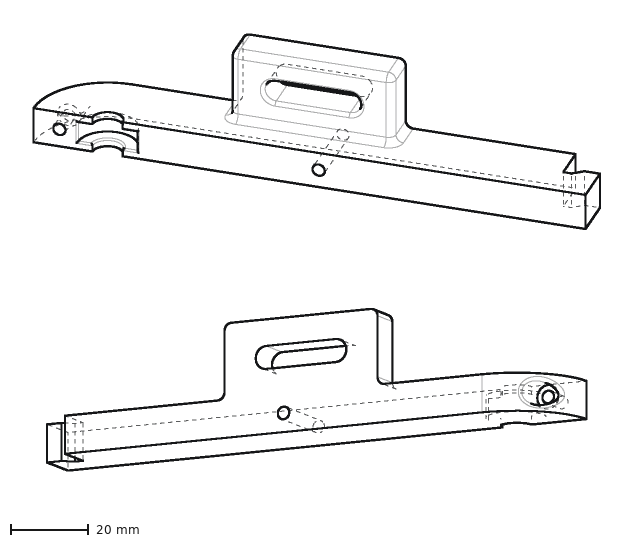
import cadquery as cq
import math

BAR_LENGTH = 149.05
BAR_WIDTH = 20.0
BAR_HEIGHT = 10.0
NOSE_RADIUS = BAR_WIDTH

HOOK_LENGTH = 9.2
HOOK_WIDTH = 12.0
NOTCH_FLOOR_Y = 9.8
HOOK_TIP_LENGTH = 4.2
HOOK_RAMP_LENGTH = 2.8
NOTCH_LEFT_X = BAR_LENGTH - HOOK_LENGTH
HOOK_TIP_X = BAR_LENGTH - HOOK_TIP_LENGTH

LUG_LENGTH = 44.0
LUG_THICKNESS = 10.1
LUG_HEIGHT = 20.0
LUG_LEFT_X = 50.0
LUG_FILLET = 2.0
LUG_CENTER_X = LUG_LEFT_X + LUG_LENGTH / 2
LUG_FRONT_Y = BAR_WIDTH - LUG_THICKNESS

SLOT_LENGTH = 26.0
SLOT_HEIGHT = 6.0
SLOT_CENTER_Z = BAR_HEIGHT + LUG_HEIGHT / 2
SLOT_EDGE_FILLET = 1.0

ROLLER_X = NOSE_RADIUS
POCKET_DIAMETER = 16.0
POCKET_HEIGHT = 5.6
POCKET_FILLET = 0.5
AXLE_DIAMETER = 8.2

SCREW_X = (7.0, 77.0)
SCREW_DIAMETER = 3.3
NOSE_SCREW_X = SCREW_X[0]
COUNTERBORE_DIAMETER = 6.3
COUNTERBORE_FLOOR_Y = 8.0
COUNTERBORE_FILLET = 1.0

MID_Z = BAR_HEIGHT / 2

PICK_MARGIN = 0.1


def make_bar():
    """Flat bar with a quarter-round nose and a hook-shaped far end."""
    mid_arc = NOSE_RADIUS * math.sqrt(0.5)
    return (
        cq.Workplane("XY")
        .lineTo(BAR_LENGTH, 0)
        .lineTo(BAR_LENGTH, HOOK_WIDTH)
        .lineTo(HOOK_TIP_X, HOOK_WIDTH)
        .lineTo(HOOK_TIP_X - HOOK_RAMP_LENGTH, NOTCH_FLOOR_Y)
        .lineTo(NOTCH_LEFT_X, NOTCH_FLOOR_Y)
        .lineTo(NOTCH_LEFT_X, BAR_WIDTH)
        .lineTo(NOSE_RADIUS, BAR_WIDTH)
        .threePointArc((NOSE_RADIUS - mid_arc, mid_arc), (0, 0))
        .close()
        .extrude(BAR_HEIGHT)
    )


def edges_between(low, high):
    """Selector for the edges lying wholly between two opposite corner points."""
    return cq.selectors.BoxSelector(
        tuple(value - PICK_MARGIN for value in low),
        tuple(value + PICK_MARGIN for value in high),
        boundingbox=True,
    )


def cylinder_along_y(x, diameter, y_start, y_end):
    """Solid cylinder at mid height of the bar, running from y_start to y_end."""
    return (
        cq.Workplane("XZ", origin=(x, y_start, MID_Z))
        .circle(diameter / 2)
        .extrude(y_start - y_end)
    )


def cut_nose_counterbore(body):
    """Screw-head bore sunk into the round nose, with its rim rounded."""
    body = body.cut(
        cylinder_along_y(NOSE_SCREW_X, COUNTERBORE_DIAMETER, COUNTERBORE_FLOOR_Y, BAR_WIDTH)
    )
    radius = COUNTERBORE_DIAMETER / 2
    rim = edges_between(
        (NOSE_SCREW_X - radius, COUNTERBORE_FLOOR_Y + 2 * PICK_MARGIN, MID_Z - radius),
        (NOSE_SCREW_X + radius, BAR_WIDTH, MID_Z + radius),
    )
    return body.edges(rim).fillet(COUNTERBORE_FILLET)


def cut_roller_pocket(body):
    """Half-round roller pocket and axle bore across it, rounded where they open."""
    pocket = (
        cq.Workplane("XY", origin=(ROLLER_X, 0, MID_Z))
        .circle(POCKET_DIAMETER / 2)
        .extrude(POCKET_HEIGHT / 2, both=True)
    )
    axle = cq.Workplane("XY").center(ROLLER_X, 0).circle(AXLE_DIAMETER / 2).extrude(BAR_HEIGHT)
    roller_space = pocket.union(axle).rotate((ROLLER_X, 0, 0), (ROLLER_X, 0, 1), -90)
    body = body.cut(roller_space)
    rim = edges_between(
        (ROLLER_X - POCKET_DIAMETER / 2, 0, MID_Z - POCKET_HEIGHT / 2),
        (ROLLER_X + POCKET_DIAMETER / 2, AXLE_DIAMETER / 2, MID_Z + POCKET_HEIGHT / 2),
    )
    return body.edges(rim).fillet(POCKET_FILLET)


def add_lug(body):
    """Upright lug with rounded front, top and side edges, blended into the bar."""
    lug = (
        cq.Workplane("XY", origin=(LUG_CENTER_X, LUG_FRONT_Y + LUG_THICKNESS / 2, BAR_HEIGHT))
        .rect(LUG_LENGTH, LUG_THICKNESS)
        .extrude(LUG_HEIGHT)
        .edges("(|Z and <Y) or (>Z and (not >Y))")
        .fillet(LUG_FILLET)
    )
    body = body.union(lug)
    foot = edges_between(
        (LUG_LEFT_X, LUG_FRONT_Y, BAR_HEIGHT),
        (LUG_LEFT_X + LUG_LENGTH, BAR_WIDTH, BAR_HEIGHT),
    )
    return body.edges(foot).fillet(LUG_FILLET)


def cut_lug_slot(body):
    """Round-ended slot through the lug, with its front rim rounded."""
    slot = (
        cq.Workplane("XZ", origin=(LUG_CENTER_X, BAR_WIDTH, SLOT_CENTER_Z))
        .slot2D(SLOT_LENGTH, SLOT_HEIGHT)
        .extrude(LUG_THICKNESS)
    )
    body = body.cut(slot)
    rim = edges_between(
        (LUG_CENTER_X - SLOT_LENGTH / 2, LUG_FRONT_Y, SLOT_CENTER_Z - SLOT_HEIGHT / 2),
        (LUG_CENTER_X + SLOT_LENGTH / 2, LUG_FRONT_Y, SLOT_CENTER_Z + SLOT_HEIGHT / 2),
    )
    return body.edges(rim).fillet(SLOT_EDGE_FILLET)


result = make_bar()
result = cut_nose_counterbore(result)
for screw_x in SCREW_X:
    result = result.cut(cylinder_along_y(screw_x, SCREW_DIAMETER, 0, BAR_WIDTH))
result = cut_roller_pocket(result)
result = add_lug(result)
result = cut_lug_slot(result)